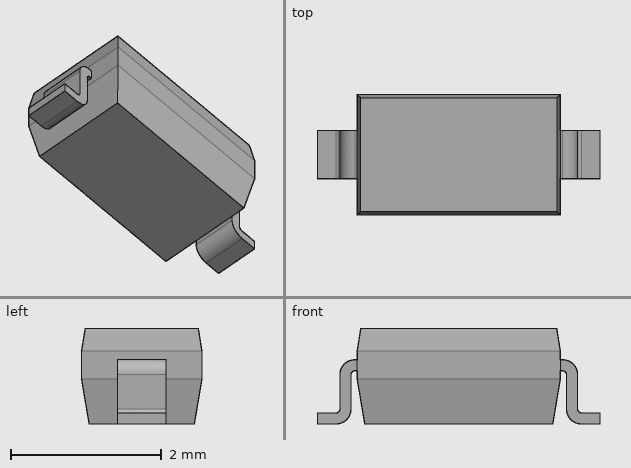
import cadquery as cq

overall_length = 3.75
housing_length = 2.7
housing_width = 1.6
housing_height = 1.27

belt_bottom = 0.6
belt_top = 0.968
bottom_inset = 0.1
top_inset = 0.05

lead_width = 0.645
lead_thickness = 0.15
lead_top = 0.855
shank_setback = 0.295
inner_bend_radius = 0.05
outer_bend_radius = inner_bend_radius + lead_thickness


def housing_frustum(start_z, end_z, end_inset):
    """Tapered block from the full belt outline to an outline inset on every side."""
    return (
        cq.Workplane("XY", origin=(0, 0, start_z))
        .rect(housing_length, housing_width)
        .workplane(offset=end_z - start_z)
        .rect(housing_length - 2 * end_inset, housing_width - 2 * end_inset)
        .loft(ruled=True)
    )


def make_housing():
    """Moulded housing, widest at its belt."""
    belt = (
        cq.Workplane("XY", origin=(0, 0, belt_bottom))
        .rect(housing_length, housing_width)
        .extrude(belt_top - belt_bottom)
    )
    lower_part = housing_frustum(belt_bottom, 0, bottom_inset)
    upper_part = housing_frustum(belt_top, housing_height, top_inset)
    return belt.union(lower_part).union(upper_part)


def make_lead(side):
    """Bent strip from the toe to the housing end; side is -1 or +1 along X."""
    toe_x = side * overall_length / 2
    shank_outer_x = side * (overall_length / 2 - shank_setback)
    shank_inner_x = shank_outer_x - side * lead_thickness
    housing_x = side * housing_length / 2
    outline = [
        (toe_x, 0),
        (shank_inner_x, 0),
        (shank_inner_x, lead_top - lead_thickness),
        (housing_x, lead_top - lead_thickness),
        (housing_x, lead_top),
        (shank_outer_x, lead_top),
        (shank_outer_x, lead_thickness),
        (toe_x, lead_thickness),
    ]
    strip = cq.Workplane("XZ").polyline(outline).close().extrude(lead_width / 2, both=True)

    def bend_edge(x, z):
        return cq.selectors.NearestToPointSelector((x, 0, z))

    strip = strip.edges(bend_edge(shank_inner_x, 0)).fillet(outer_bend_radius)
    strip = strip.edges(bend_edge(shank_outer_x, lead_top)).fillet(outer_bend_radius)
    strip = strip.edges(bend_edge(shank_outer_x, lead_thickness)).fillet(inner_bend_radius)
    return strip.edges(bend_edge(shank_inner_x, lead_top - lead_thickness)).fillet(inner_bend_radius)


housing = make_housing()
leads = [make_lead(side) for side in (-1, 1)]

result = cq.Compound.makeCompound([housing.solids().val(), *[lead.solids().val() for lead in leads]])